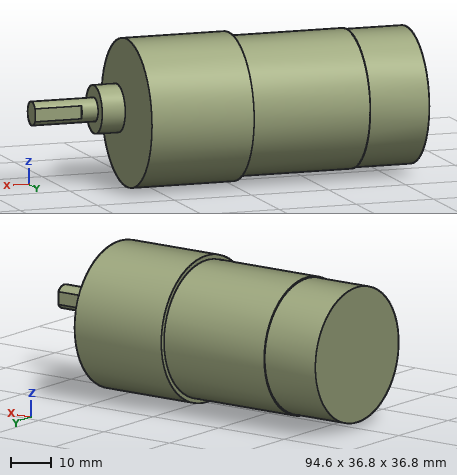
import cadquery as cq

rear_diameter = 34.0
motor_diameter = 34.5
gearbox_diameter = 36.8
boss_diameter = 12.0
shaft_diameter = 6.0

total_length = 94.6
rear_length = 15.4
motor_length = 30.6
gearbox_length = 26.5
boss_length = 6.0
shaft_length = total_length - rear_length - motor_length - gearbox_length - boss_length

shaft_offset = 7.0
flat_length = 12.0
flat_depth = 0.5

motor_start = rear_length
gearbox_start = motor_start + motor_length
boss_start = gearbox_start + gearbox_length
shaft_start = boss_start + boss_length


def cylinder(start, length, diameter, y=0.0):
    """Cylinder along +X, beginning at x = start."""
    return cq.Workplane("YZ", origin=(start, y, 0)).circle(diameter / 2).extrude(length)


def output_shaft():
    """Round shaft with a flat facing +Y over its free end."""
    shaft = cylinder(shaft_start, shaft_length, shaft_diameter, -shaft_offset)
    flat_y = -shaft_offset + shaft_diameter / 2 - flat_depth
    flat_cutter = cq.Workplane("XY", origin=(total_length - flat_length, flat_y, 0)).box(
        flat_length, shaft_diameter, shaft_diameter, centered=(False, False, True)
    )
    return shaft.cut(flat_cutter)


body = (
    cylinder(0, rear_length, rear_diameter)
    .union(cylinder(motor_start, motor_length, motor_diameter))
    .union(cylinder(gearbox_start, gearbox_length, gearbox_diameter))
)
boss = cylinder(boss_start, boss_length, boss_diameter, -shaft_offset)

result = body.union(boss).union(output_shaft())